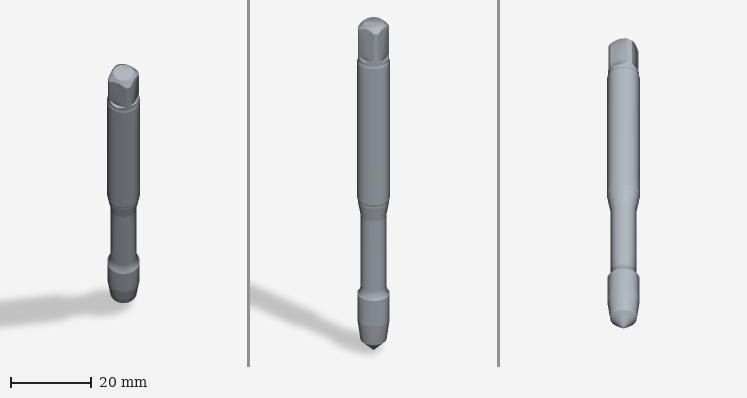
import cadquery as cq
import math

shank_diameter = 8.1
drive_diameter = 7.7
head_diameter = 8.0
neck_diameter = 6.3
point_diameter = 6.5
top_face_diameter = 4.9

head_taper_top = 8.95
head_top = 16.2
neck_bottom = 18.5
neck_top = 38.4
shank_taper_top = 42.3
shank_bottom = 43.5
shank_top = 82.15
total_height = 93.25

shank_chamfer_height = 0.6

square_width = 6.25
flat_end = 83.6
flat_end_radius = 4.4

shank_radius = shank_diameter / 2
drive_radius = drive_diameter / 2
head_radius = head_diameter / 2
neck_radius = neck_diameter / 2
top_face_radius = top_face_diameter / 2
half_square = square_width / 2
point_radius = point_diameter / 2
point_height = point_radius


def make_head():
    """Conical point, tapered lead and cylindrical forming section."""
    profile = (
        cq.Workplane("XZ")
        .moveTo(0, 0)
        .lineTo(point_radius, point_height)
        .lineTo(head_radius, head_taper_top)
        .lineTo(head_radius, head_top)
        .lineTo(0, head_top)
        .close()
    )
    return profile.revolve(360, (0, 0), (0, 1))


def make_round_shank():
    """Flared neck and stepped shank, before the square is cut."""
    flare_height = neck_bottom - head_top
    flare_depth = head_radius - neck_radius
    flare_radius = (flare_height**2 + flare_depth**2) / (2 * flare_depth)
    half_angle = math.asin(flare_height / flare_radius) / 2
    flare_middle = (
        neck_radius + flare_radius * (1 - math.cos(half_angle)),
        neck_bottom - flare_radius * math.sin(half_angle),
    )
    top_chamfer = drive_radius - top_face_radius
    profile = (
        cq.Workplane("XZ")
        .moveTo(0, head_top)
        .lineTo(head_radius, head_top)
        .threePointArc(flare_middle, (neck_radius, neck_bottom))
        .lineTo(neck_radius, neck_top)
        .lineTo(drive_radius, shank_taper_top)
        .lineTo(drive_radius, shank_bottom - shank_chamfer_height)
        .lineTo(shank_radius, shank_bottom)
        .lineTo(shank_radius, shank_top)
        .lineTo(drive_radius, shank_top + shank_chamfer_height)
        .lineTo(drive_radius, total_height - top_chamfer)
        .lineTo(top_face_radius, total_height)
        .lineTo(0, total_height)
        .close()
    )
    return profile.revolve(360, (0, 0), (0, 1))


def make_flat_cutter():
    """Cutter for the +X flat, with a round lower end in the plane of the flat."""
    arc_center_z = flat_end + flat_end_radius
    profile = (
        cq.Workplane("YZ", origin=(half_square, 0, 0))
        .moveTo(-flat_end_radius, total_height)
        .lineTo(-flat_end_radius, arc_center_z)
        .threePointArc((0, flat_end), (flat_end_radius, arc_center_z))
        .lineTo(flat_end_radius, total_height)
        .close()
    )
    return profile.extrude(shank_radius)


def make_shank():
    """Shank with four flats forming the square drive."""
    shank = make_round_shank()
    cutter = make_flat_cutter()
    for side in range(4):
        shank = shank.cut(cutter.rotate((0, 0, 0), (0, 0, 1), 90 * side))
    return shank


head = make_head()
shank = make_shank()
result = cq.Compound.makeCompound([head.val(), *shank.vals()])